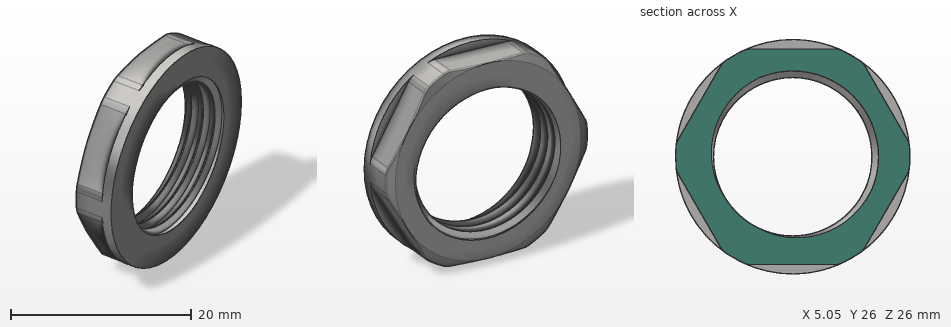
import cadquery as cq
import math

outer_radius = 13.02
nut_height = 5.05
flange_thickness = 1.25
hex_height = nut_height - flange_thickness
hex_sides = 6
across_flats = 23.95
corner_blend_radius = 2.08

cone_start_radius = 11.95
cone_depth = 0.35
cone_edge_radius = 0.18
edge_tolerance = 0.003

minor_radius = 8.78
major_radius = 9.5
pitch = 1.55
flank_half_angle = math.radians(30)
crest_width = 0.15
root_width = pitch - crest_width - 2 * (major_radius - minor_radius) * math.tan(flank_half_angle)
bore_overlap = 0.1
lead_in_turns = 2
lead_out_turns = 1


def make_hex_body():
    """Hexagon with corners rounded to the flange radius and a coned face."""
    corner_diameter = across_flats / math.cos(math.pi / hex_sides)
    disc = cq.Workplane("YZ").circle(outer_radius).extrude(hex_height)
    hexagon = cq.Workplane("YZ").polygon(hex_sides, corner_diameter).extrude(hex_height)
    body = disc.intersect(hexagon).edges("|X").fillet(corner_blend_radius)

    cone_envelope = (
        cq.Workplane("XY")
        .moveTo(0, 0)
        .lineTo(0, cone_start_radius)
        .lineTo(cone_depth, outer_radius)
        .lineTo(hex_height, outer_radius)
        .lineTo(hex_height, 0)
        .close()
        .revolve(360, (0, 0, 0), (1, 0, 0))
    )
    coned = body.intersect(cone_envelope)
    cone_edges = coned.faces("%CONE").edges()
    rim = cone_edges.filter(lambda edge: edge.BoundingBox().xmax > edge_tolerance)
    return rim.fillet(cone_edge_radius)


def make_thread_cutter():
    """Right-hand helical groove along X, with its root at -Z where X = 0."""
    turns = lead_in_turns + math.ceil(nut_height / pitch) + lead_out_turns
    inner_radius = minor_radius - bore_overlap
    root_half = root_width / 2
    mouth_half = root_half + (major_radius - inner_radius) * math.tan(flank_half_angle)
    helix = cq.Wire.makeHelix(pitch, turns * pitch, minor_radius)
    groove = (
        cq.Workplane("XZ")
        .moveTo(inner_radius, -mouth_half)
        .lineTo(major_radius, -root_half)
        .lineTo(major_radius, root_half)
        .lineTo(inner_radius, mouth_half)
        .close()
        .sweep(cq.Workplane(obj=helix), isFrenet=True)
    )
    return (
        groove.rotate((0, 0, 0), (0, 1, 0), 90)
        .translate((-lead_in_turns * pitch, 0, 0))
    )


flange = cq.Workplane("YZ").workplane(offset=hex_height).circle(outer_radius).extrude(flange_thickness)
bore = cq.Workplane("YZ").circle(minor_radius).extrude(nut_height)

threaded_nut = make_hex_body().union(flange).cut(make_thread_cutter())
result = threaded_nut.cut(bore)